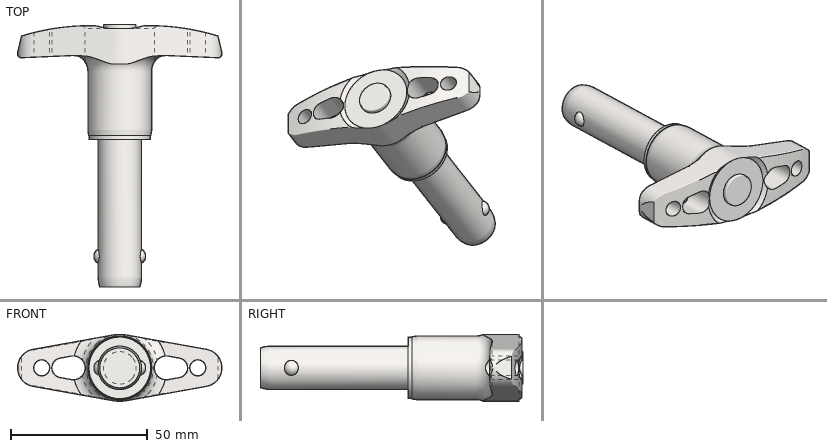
import cadquery as cq
import math


pin_length = 54.1
pin_radius = 8.0
tip_radius = 7.3
tip_length = 3.5
ball_radius = 2.9
ball_reach = 9.5
ball_y = -42.7

collar_radius = 11.7
collar_step_radius = 11.3
collar_step_height = 1.4
collar_taper_radius = 11.4
collar_taper_end = 3.5
flare_start_y = 25.2
flare_radius = 5.5

grip_half_length = 37.4
grip_centre_radius = 12.3
grip_end_radius = 6.9
grip_end_x = grip_half_length - grip_end_radius

crown_y = 41.75
crown_half_flat = 10.6
crown_radius = 86.6
crown_half_length = 36.0
crown_edge_radius = 0.3
underside_middle_y = 31.5
underside_end_y = 29.8
underside_half_length = grip_half_length + 0.5
end_corner_radius = 1.5

hole_x = 28.6
hole_radius = 2.9
slot_inner_x = 17.0
slot_inner_radius = 4.3
slot_outer_x = 21.3
slot_outer_radius = 3.6

button_radius = 6.0
button_top_y = 42.1
button_edge_radius = 0.4
dish_floor_y = 40.6
dish_floor_radius = 12.3
dish_rim_radius = 14.0

overlap = 1.0
grip_base_y = 19.2
grip_height = crown_y - grip_base_y + overlap


def revolve_about_pin_axis(half_section):
    return half_section.close().revolve(360, (0, 0, 0), (0, 1, 0))


def plane_facing_up_y(y):
    """Workplane at height y with its normal along +Y and its local x along X."""
    return cq.Workplane(cq.Plane(origin=(0, y, 0), xDir=(1, 0, 0), normal=(0, 1, 0)))


def on_both_sides(half):
    return half.union(half.mirror("YZ"))


def tapered_plate(inner_x, inner_radius, outer_x, outer_radius):
    """Plate bounded by a large inner circle, a small outer circle and their common tangents."""
    sine = (inner_radius - outer_radius) / (outer_x - inner_x)
    cosine = math.sqrt(1 - sine**2)
    inner_tangent_x = inner_x + inner_radius * sine
    inner_tangent_z = inner_radius * cosine
    outer_tangent_x = outer_x + outer_radius * sine
    outer_tangent_z = outer_radius * cosine
    return (
        plane_facing_up_y(grip_base_y)
        .moveTo(inner_tangent_x, inner_tangent_z)
        .lineTo(outer_tangent_x, outer_tangent_z)
        .threePointArc((outer_x + outer_radius, 0), (outer_tangent_x, -outer_tangent_z))
        .lineTo(inner_tangent_x, -inner_tangent_z)
        .threePointArc((inner_x - inner_radius, 0), (inner_tangent_x, inner_tangent_z))
        .close()
        .extrude(grip_height)
    )


def make_pin():
    shank = revolve_about_pin_axis(
        cq.Workplane("XY")
        .moveTo(0, overlap)
        .lineTo(pin_radius, overlap)
        .lineTo(pin_radius, tip_length - pin_length)
        .tangentArcPoint((tip_radius, -pin_length), relative=False)
        .lineTo(0, -pin_length)
    )
    ball = cq.Workplane("XY").sphere(ball_radius).translate((ball_reach - ball_radius, ball_y, 0))
    return shank.union(on_both_sides(ball))


def make_collar():
    return revolve_about_pin_axis(
        cq.Workplane("XY")
        .lineTo(collar_step_radius, 0)
        .lineTo(collar_step_radius, collar_step_height)
        .lineTo(collar_taper_radius, collar_step_height)
        .lineTo(collar_radius, collar_taper_end)
        .lineTo(collar_radius, flare_start_y)
        .lineTo(0, flare_start_y)
    )


def make_flare():
    """Trumpet-shaped body from the collar up into the grip."""
    rim_radius = collar_radius + flare_radius
    top_y = underside_middle_y + overlap
    return revolve_about_pin_axis(
        cq.Workplane("XY")
        .moveTo(0, flare_start_y)
        .lineTo(collar_radius, flare_start_y)
        .radiusArc((rim_radius, flare_start_y + flare_radius), flare_radius)
        .lineTo(rim_radius, top_y)
        .lineTo(0, top_y)
    )


def crown_height(x):
    return crown_y - crown_radius + math.sqrt(crown_radius**2 - (x - crown_half_flat) ** 2)


def make_grip_profile():
    """Profile of the grip in XY, extruded along Z past the outline."""
    arc_middle_x = (crown_half_flat + crown_half_length) / 2
    end_corner = (underside_half_length, underside_end_y, 0)
    half = (
        cq.Workplane("XY")
        .moveTo(0, underside_middle_y)
        .lineTo(underside_half_length, underside_end_y)
        .lineTo(crown_half_length, crown_height(crown_half_length))
        .threePointArc((arc_middle_x, crown_height(arc_middle_x)), (crown_half_flat, crown_y))
        .lineTo(0, crown_y)
        .close()
        .extrude(grip_centre_radius + overlap, both=True)
        .edges(cq.NearestToPointSelector(end_corner))
        .fillet(end_corner_radius)
    )
    return on_both_sides(half)


def make_grip():
    outline = on_both_sides(tapered_plate(0, grip_centre_radius, grip_end_x, grip_end_radius))
    lowest_crown_y = crown_height(crown_half_length)
    around_crown = cq.selectors.BoxSelector(
        (-grip_half_length, lowest_crown_y - overlap, -grip_centre_radius),
        (grip_half_length, crown_y + overlap, grip_centre_radius),
    )
    grip = make_grip_profile().intersect(outline)
    grip = grip.edges(around_crown).edges("not |Z").fillet(crown_edge_radius)
    return grip.union(make_flare().intersect(outline))


def make_dish():
    """Cutter for the shallow conical recess around the push button."""
    return revolve_about_pin_axis(
        cq.Workplane("XY")
        .moveTo(0, dish_floor_y)
        .lineTo(dish_floor_radius, dish_floor_y)
        .lineTo(dish_rim_radius, crown_y)
        .lineTo(dish_rim_radius, crown_y + overlap)
        .lineTo(0, crown_y + overlap)
    )


def make_openings():
    """Cutters for the tapered slot and the round hole in each arm of the grip."""
    slot = tapered_plate(slot_inner_x, slot_inner_radius, slot_outer_x, slot_outer_radius)
    hole = plane_facing_up_y(grip_base_y).center(hole_x, 0).circle(hole_radius).extrude(grip_height)
    return on_both_sides(slot.union(hole))


def make_button():
    base_y = dish_floor_y - overlap
    button = plane_facing_up_y(base_y).circle(button_radius).extrude(button_top_y - base_y)
    return button.faces(">Y").edges().fillet(button_edge_radius)


result = (
    make_grip()
    .cut(make_dish())
    .union(make_collar())
    .cut(make_openings())
    .union(make_button())
    .union(make_pin())
)